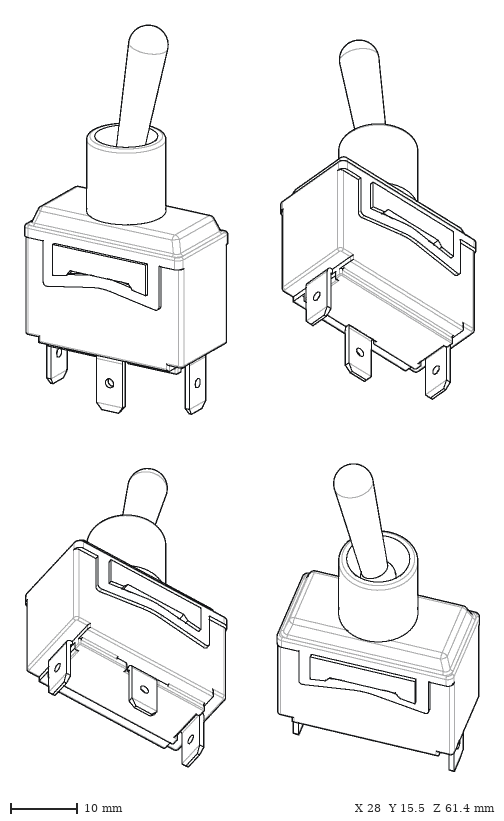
import cadquery as cq
import math


NOTCH_Z = 10.25
BASE_Z = 9.35
BOSS_Z = 8.1
RIM_BOTTOM_Z = 26.3
RIM_TOP_Z = 28.1
LID_TOP_Z = 30.9
BUSHING_TOP_Z = 42.9
BALL_Z = 38.8
LEVER_ROOT_Z = 37.2
TOTAL_HEIGHT = 61.4

SELECT_MARGIN = 0.05

BODY_LENGTH = 28.0
BODY_WIDTH = 13.2
BODY_CORNER = 0.6
BOTTOM_EDGE = 0.35
BOSS_LENGTH = 23.2
BOSS_WIDTH = 8.4
BOSS_FLARE = 0.3
FLARE_GAP = 9.4
BOSS_EDGE = 0.2
BOSS_CORNER = 0.3

LID_WIDTH = 14.4
LID_CORNER = 1.0
RIM_FILLET = 0.35
ROOF_INSET = 0.75
ROOF_TAPER = 19.5
ROOF_FILLET = 0.85
ROOF_FOOT_FILLET = 0.5

APRON_LENGTH = 20.6
APRON_CORNER_Z = 19.0
APRON_CORNER = 0.6
ARCH_SLOPE = 10.0
ARCH_RADIUS = 9.2
PLATE_LENGTH = 16.6
PLATE_CORNER_Z = 21.3
PLATE_FACE_Y = 7.75
PLATE_RAISED_Z = 22.65
PLATE_RAISED_HALF = 5.15
PLATE_STEP_HALF = 5.9

BUSHING_DIAMETER = 12.0
BUSHING_FILLET = 0.5
MOUTH_DIAMETER = 9.5
BALL_DIAMETER = 5.4
LEVER_TILT = 10.5
KNOB_RADIUS = 3.0
LEVER_ROOT_RADIUS = 1.9

TERMINAL_WIDTH = 4.65
TERMINAL_THICKNESS = 0.8
TERMINAL_BEND = 1.05
TERMINAL_FOOT = 1.85
TIP_HEIGHT = 1.1
TIP_SIDE_CHAMFER = 0.85
TIP_FACE_CHAMFER = 0.2
TERMINAL_HOLE = 1.4
TERMINAL_HOLE_Z = 4.6
SIDE_TERMINAL_X = 12.7
CENTRE_TERMINAL_Y = 4.8
CENTRE_TERMINAL_TOP = 9.2
POCKET_WIDTH = 5.4
POCKET_DEPTH = 0.6
POCKET_FILLET = 0.35


def block(length, width, bottom, top):
    """Centred box between two heights."""
    return (
        cq.Workplane("XY")
        .workplane(offset=bottom)
        .rect(length, width)
        .extrude(top - bottom)
    )


def make_body():
    outline = (
        cq.Workplane("XZ")
        .moveTo(-BODY_LENGTH / 2, RIM_BOTTOM_Z)
        .lineTo(-BODY_LENGTH / 2, NOTCH_Z)
        .lineTo(-BOSS_LENGTH / 2, NOTCH_Z)
        .lineTo(-BOSS_LENGTH / 2, BASE_Z)
        .lineTo(BOSS_LENGTH / 2, BASE_Z)
        .lineTo(BOSS_LENGTH / 2, NOTCH_Z)
        .lineTo(BODY_LENGTH / 2, NOTCH_Z)
        .lineTo(BODY_LENGTH / 2, RIM_BOTTOM_Z)
        .close()
    )
    body = outline.extrude(BODY_WIDTH / 2, both=True)
    body = body.edges("|Z and (<X or >X)").fillet(BODY_CORNER)
    underside = cq.selectors.BoxSelector(
        (-BODY_LENGTH, -BODY_WIDTH, BASE_Z - SELECT_MARGIN),
        (BODY_LENGTH, BODY_WIDTH, NOTCH_Z + SELECT_MARGIN),
    )
    return body.edges(underside).edges("not |Y").fillet(BOTTOM_EDGE)


def make_boss():
    """Terminal boss with a pocket behind each terminal."""
    boss = block(BOSS_LENGTH, BOSS_WIDTH, BOSS_Z, BASE_Z)
    boss = boss.edges("|Z").fillet(BOSS_CORNER)
    end_x = BOSS_LENGTH / 2
    side_y = BOSS_WIDTH / 2
    half = POCKET_WIDTH / 2
    end_pockets = block(2 * POCKET_DEPTH, POCKET_WIDTH, BOSS_Z, BASE_Z)
    centre_pocket = block(POCKET_WIDTH, 2 * POCKET_DEPTH, BOSS_Z, BASE_Z)
    boss = boss.cut(centre_pocket.translate((0, -side_y, 0)))
    for x in (-end_x, end_x):
        boss = boss.cut(end_pockets.translate((x, 0, 0)))
    mouths = [(-half, -side_y), (half, -side_y)]
    mouths += [(x, y) for x in (-end_x, end_x) for y in (-half, half)]
    for x, y in mouths:
        mouth = cq.selectors.NearestToPointSelector((x, y, (BOSS_Z + BASE_Z) / 2))
        boss = boss.edges(mouth).fillet(POCKET_FILLET)
    return boss.faces("<Z").edges().fillet(BOSS_EDGE)


def make_flare(start_x, end_x):
    """Concave fillet strip between the boss and the body on the +Y side."""
    wall_y = BOSS_WIDTH / 2
    return (
        cq.Workplane("YZ", origin=(start_x, 0, 0))
        .moveTo(wall_y, BASE_Z)
        .lineTo(wall_y + BOSS_FLARE, BASE_Z)
        .radiusArc((wall_y, BASE_Z - BOSS_FLARE), -BOSS_FLARE)
        .close()
        .extrude(end_x - start_x)
    )


def make_lid():
    rim = block(BODY_LENGTH, LID_WIDTH, RIM_BOTTOM_Z, RIM_TOP_Z)
    rim = rim.edges("|Z").fillet(LID_CORNER)
    rim = rim.faces(">Z").edges().fillet(RIM_FILLET)
    roof = (
        cq.Workplane("XY")
        .workplane(offset=RIM_TOP_Z)
        .rect(BODY_LENGTH - 2 * ROOF_INSET, LID_WIDTH - 2 * ROOF_INSET)
        .extrude(LID_TOP_Z - RIM_TOP_Z, taper=ROOF_TAPER)
    )
    roof = roof.edges("not <Z").fillet(ROOF_FILLET)
    lid = rim.union(roof)
    inner_x = BODY_LENGTH / 2 - RIM_FILLET - SELECT_MARGIN
    inner_y = LID_WIDTH / 2 - RIM_FILLET - SELECT_MARGIN
    foot = cq.selectors.BoxSelector(
        (-inner_x, -inner_y, RIM_TOP_Z - SELECT_MARGIN),
        (inner_x, inner_y, RIM_TOP_Z + SELECT_MARGIN),
    )
    return lid.edges(foot).fillet(ROOF_FOOT_FILLET)


def arched_panel(length, corner_z, back_y, front_y):
    """Panel on the -Y side whose lower edge rises to a rounded arch."""
    half = length / 2
    apex_z = corner_z + half * math.tan(math.radians(ARCH_SLOPE))
    panel = (
        cq.Workplane("XZ", origin=(0, -back_y, 0))
        .moveTo(-half, RIM_BOTTOM_Z)
        .lineTo(-half, corner_z)
        .lineTo(0, apex_z)
        .lineTo(half, corner_z)
        .lineTo(half, RIM_BOTTOM_Z)
        .close()
        .extrude(front_y - back_y)
    )
    apex = cq.selectors.NearestToPointSelector((0, -(back_y + front_y) / 2, apex_z))
    return panel.edges(apex).fillet(ARCH_RADIUS)


def make_latch():
    """Apron with an arched window, and the raised plate inside the window."""
    wall_y = BODY_WIDTH / 2
    apron = arched_panel(APRON_LENGTH, APRON_CORNER_Z, wall_y, LID_WIDTH / 2)
    apron = apron.edges("|Y and <Z").fillet(APRON_CORNER)
    window = arched_panel(PLATE_LENGTH, PLATE_CORNER_Z, wall_y, LID_WIDTH / 2)
    half = PLATE_LENGTH / 2
    step_z = PLATE_CORNER_Z + (half - PLATE_STEP_HALF) * math.tan(math.radians(ARCH_SLOPE))
    plate = (
        cq.Workplane("XZ", origin=(0, -wall_y, 0))
        .moveTo(-half, RIM_BOTTOM_Z)
        .lineTo(-half, PLATE_CORNER_Z)
        .lineTo(-PLATE_STEP_HALF, step_z)
        .lineTo(-PLATE_RAISED_HALF, PLATE_RAISED_Z)
        .lineTo(PLATE_RAISED_HALF, PLATE_RAISED_Z)
        .lineTo(PLATE_STEP_HALF, step_z)
        .lineTo(half, PLATE_CORNER_Z)
        .lineTo(half, RIM_BOTTOM_Z)
        .close()
        .extrude(PLATE_FACE_Y - wall_y)
    )
    return apron.cut(window).union(plate)


def make_bushing():
    bushing = (
        cq.Workplane("XY")
        .workplane(offset=LID_TOP_Z)
        .circle(BUSHING_DIAMETER / 2)
        .extrude(BUSHING_TOP_Z - LID_TOP_Z)
    )
    bushing = bushing.faces(">Z").edges().fillet(BUSHING_FILLET)
    funnel = (
        cq.Workplane("XZ")
        .moveTo(0, BALL_Z)
        .lineTo(BALL_DIAMETER / 2, BALL_Z)
        .lineTo(MOUTH_DIAMETER / 2, BUSHING_TOP_Z)
        .lineTo(0, BUSHING_TOP_Z)
        .close()
        .revolve(360, (0, 0, 0), (0, 1, 0))
    )
    return bushing.cut(funnel)


def make_lever():
    """Ball, tapered rod and domed knob, leaning towards +X."""
    reach = (TOTAL_HEIGHT - KNOB_RADIUS - LEVER_ROOT_Z) / math.cos(math.radians(LEVER_TILT))
    rod = (
        cq.Workplane("XZ", origin=(0, 0, LEVER_ROOT_Z))
        .lineTo(LEVER_ROOT_RADIUS, 0)
        .lineTo(KNOB_RADIUS, reach)
        .radiusArc((0, reach + KNOB_RADIUS), -KNOB_RADIUS)
        .close()
        .revolve(360, (0, 0, 0), (0, 1, 0))
        .rotate((0, 0, LEVER_ROOT_Z), (0, 1, LEVER_ROOT_Z), LEVER_TILT)
    )
    ball = cq.Workplane("XY", origin=(0, 0, BALL_Z)).sphere(BALL_DIAMETER / 2)
    return ball.union(rod)


def make_terminal():
    """Flat terminal on the -Y side, tip at Z = 0 and outer face at Y = 0."""
    top = CENTRE_TERMINAL_TOP
    inner_bend = TERMINAL_BEND - TERMINAL_THICKNESS
    foot_y = TERMINAL_BEND + TERMINAL_FOOT
    profile = (
        cq.Workplane("YZ", origin=(-TERMINAL_WIDTH / 2, 0, 0))
        .moveTo(TIP_FACE_CHAMFER, 0)
        .lineTo(0, TIP_HEIGHT)
        .lineTo(0, top - TERMINAL_BEND)
        .radiusArc((TERMINAL_BEND, top), TERMINAL_BEND)
        .lineTo(foot_y, top)
        .lineTo(foot_y, top - TERMINAL_THICKNESS)
        .lineTo(TERMINAL_BEND, top - TERMINAL_THICKNESS)
        .radiusArc((TERMINAL_THICKNESS, top - TERMINAL_BEND), -inner_bend)
        .lineTo(TERMINAL_THICKNESS, TIP_HEIGHT)
        .lineTo(TERMINAL_THICKNESS - TIP_FACE_CHAMFER, 0)
        .close()
        .extrude(TERMINAL_WIDTH)
    )
    half = TERMINAL_WIDTH / 2
    front = (
        cq.Workplane("XZ")
        .moveTo(-half + TIP_SIDE_CHAMFER, 0)
        .lineTo(half - TIP_SIDE_CHAMFER, 0)
        .lineTo(half, TIP_HEIGHT)
        .lineTo(half, top)
        .lineTo(-half, top)
        .lineTo(-half, TIP_HEIGHT)
        .close()
        .extrude(-foot_y)
    )
    hole = (
        cq.Workplane("XZ", origin=(0, 0, TERMINAL_HOLE_Z))
        .circle(TERMINAL_HOLE / 2)
        .extrude(-TERMINAL_THICKNESS)
    )
    return profile.intersect(front).cut(hole)


flare_end = BOSS_LENGTH / 2 - BOSS_CORNER
half_flare = make_flare(FLARE_GAP / 2, flare_end).mirror("XZ")
body = make_body().union(make_boss())
body = body.union(make_flare(-flare_end, flare_end))
body = body.union(half_flare).union(half_flare.mirror("YZ"))
latch = make_latch()
terminal = make_terminal()
side_terminal = terminal.translate((0, -SIDE_TERMINAL_X, NOTCH_Z - CENTRE_TERMINAL_TOP))

result = body.union(make_lid())
result = result.union(latch).union(latch.mirror("XZ"))
result = result.union(make_bushing()).union(make_lever())
result = result.union(terminal.translate((0, -CENTRE_TERMINAL_Y, 0)))
for angle in (-90, 90):
    result = result.union(side_terminal.rotate((0, 0, 0), (0, 0, 1), angle))